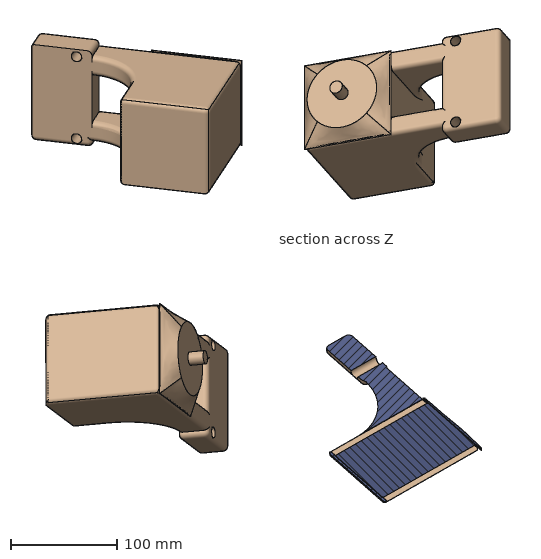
import cadquery as cq
import math

PLATE_WIDTH = 60.0
PLATE_DEPTH = 30.0
PLATE_HEIGHT = 100.0
BOX_SIDE = 88.0
BOX_DEPTH = 115.0
ARM_THICKNESS = 20.0
TOTAL_LENGTH = 198.0
EDGE_RADIUS = 5.0

HOLE_DIAMETER = 10.0
HOLE_SPACING = 85.0
HOLE_FROM_LEFT = 45.0

SIDE_WALL = 1.5
FRONT_WALL = 3.0
CORE_CORNER_RADIUS = 7.5

COVER_LENGTH = 15.0
COVER_END_DIAMETER = 70.3
SHAFT_DIAMETER = 12.7
SHAFT_LENGTH = 15.0

ARM_RADIUS = TOTAL_LENGTH - PLATE_WIDTH - BOX_SIDE
BOX_LEFT = TOTAL_LENGTH - BOX_SIDE
BOX_CENTER_X = TOTAL_LENGTH - BOX_SIDE / 2
BOX_TOP = BOX_SIDE / 2
ARM_LEFT = PLATE_WIDTH - EDGE_RADIUS
ARC_END_Y = -PLATE_DEPTH - ARM_RADIUS
WINDOW_HEIGHT = BOX_SIDE - 2 * ARM_THICKNESS
WINDOW_TOP = WINDOW_HEIGHT / 2
CAVITY_SIDE = BOX_SIDE - 2 * SIDE_WALL
CAVITY_DEPTH = BOX_DEPTH - FRONT_WALL
DIAGONAL = 0.5**0.5


def block(x_min, x_max, y_min, y_max, height):
    """Box given by its X and Y limits, centred on Z = 0."""
    return (
        cq.Workplane("XY")
        .box(x_max - x_min, y_max - y_min, height, centered=(False, False, True))
        .translate((x_min, y_min, 0))
    )


def edges_at(body, points):
    """Edges of the body that lie closest to each of the given points."""
    picked = []
    for point in points:
        picked += body.edges(cq.selectors.NearestToPointSelector(point)).vals()
    return body.newObject(picked)


def cavity_block():
    """Square block that fills the cavity of the box, open at the back plane."""
    left = BOX_LEFT + SIDE_WALL
    return block(left, left + CAVITY_SIDE, -CAVITY_DEPTH, 0, CAVITY_SIDE)


def make_arm(side):
    """Arm above (side 1) or below (side -1) the window, swept into the left wall of the box."""
    arc_middle = (
        PLATE_WIDTH + ARM_RADIUS * DIAGONAL,
        ARC_END_Y + ARM_RADIUS * DIAGONAL,
    )
    arm = (
        cq.Workplane("XY")
        .moveTo(ARM_LEFT, 0)
        .lineTo(BOX_CENTER_X, 0)
        .lineTo(BOX_CENTER_X, ARC_END_Y)
        .lineTo(BOX_LEFT, ARC_END_Y)
        .threePointArc(arc_middle, (PLATE_WIDTH, -PLATE_DEPTH))
        .lineTo(ARM_LEFT, -PLATE_DEPTH)
        .close()
        .extrude(ARM_THICKNESS)
        .translate((0, 0, WINDOW_TOP))
    )
    rounded = []
    for z in (WINDOW_TOP, BOX_TOP):
        rounded += [
            (*arc_middle, z),
            ((ARM_LEFT + PLATE_WIDTH) / 2, -PLATE_DEPTH, z),
        ]
    rounded.append(((ARM_LEFT + BOX_CENTER_X) / 2, 0, WINDOW_TOP))
    arm = edges_at(arm, rounded).fillet(EDGE_RADIUS)
    return arm if side > 0 else arm.mirror("XY")


def make_box():
    """Square box whose lower front edge and back upright edges stay sharp."""
    box = block(BOX_LEFT, TOTAL_LENGTH, -BOX_DEPTH, 0, BOX_SIDE)
    rounded = [
        (BOX_LEFT, -BOX_DEPTH, 0),
        (TOTAL_LENGTH, -BOX_DEPTH, 0),
        (BOX_CENTER_X, -BOX_DEPTH, BOX_TOP),
    ]
    for z in (-BOX_TOP, BOX_TOP):
        rounded += [
            (BOX_LEFT, -BOX_DEPTH / 2, z),
            (TOTAL_LENGTH, -BOX_DEPTH / 2, z),
        ]
    return edges_at(box, rounded).fillet(EDGE_RADIUS)


def rounded_plate(sharp_front_points):
    """Grip plate block, rounded all over except at the front edges near the given points."""
    plate = block(0, PLATE_WIDTH, -PLATE_DEPTH, 0, PLATE_HEIGHT)
    sharp = edges_at(plate, sharp_front_points).vals()
    rounded = [
        edge
        for edge in plate.edges("|Y or >Y or <Y").vals()
        if not any(edge.isSame(other) for other in sharp)
    ]
    return plate.newObject(rounded).fillet(EDGE_RADIUS)


def make_plate():
    """Upright plate, its right front edge rounded only below the lower arm, with two through holes."""
    front_top_edge = (PLATE_WIDTH / 2, -PLATE_DEPTH, PLATE_HEIGHT / 2)
    front_right_edge = (PLATE_WIDTH, -PLATE_DEPTH, 0)
    foot_height = (PLATE_HEIGHT - BOX_SIDE) / 2 + EDGE_RADIUS
    foot_space = block(0, PLATE_WIDTH, -PLATE_DEPTH, 0, foot_height).translate(
        (0, 0, (foot_height - PLATE_HEIGHT) / 2)
    )
    upper = rounded_plate([front_top_edge, front_right_edge]).cut(foot_space)
    foot = rounded_plate([front_top_edge]).intersect(foot_space)
    holes = (
        cq.Workplane("XZ")
        .pushPoints([(HOLE_FROM_LEFT, side * HOLE_SPACING / 2) for side in (-1, 1)])
        .circle(HOLE_DIAMETER / 2)
        .extrude(PLATE_DEPTH)
    )
    return upper.union(foot).cut(holes)


def make_housing():
    """Grip plate, arms and hollow box in one piece."""
    body = make_box()
    for side in (-1, 1):
        body = body.union(make_arm(side))
    back_edges = [((ARM_LEFT + TOTAL_LENGTH) / 2, 0, z) for z in (-BOX_TOP, BOX_TOP)]
    body = edges_at(body, back_edges).fillet(EDGE_RADIUS)
    return body.union(make_plate()).cut(cavity_block())


def make_core():
    """Round-cornered block that fills the cavity of the box."""
    return cavity_block().edges("|Y").fillet(CORE_CORNER_RADIUS)


def make_cover():
    """Cover that changes from the square back of the box to a smaller round end."""
    half = BOX_SIDE / 2
    radius = COVER_END_DIAMETER / 2
    base = cq.Wire.makePolygon(
        [
            cq.Vector(BOX_CENTER_X + sx * half, 0, sz * half)
            for sx, sz in ((1, 1), (-1, 1), (-1, -1), (1, -1))
        ],
        close=True,
    )
    arcs = []
    for quarter in range(4):
        start, middle, end = [
            cq.Vector(
                BOX_CENTER_X + radius * math.cos(math.radians(angle)),
                COVER_LENGTH,
                radius * math.sin(math.radians(angle)),
            )
            for angle in (90 * quarter + 45, 90 * quarter + 90, 90 * quarter + 135)
        ]
        arcs.append(cq.Edge.makeThreePointArc(start, middle, end))
    return cq.Workplane(cq.Solid.makeLoft([base, cq.Wire.assembleEdges(arcs)], True))


def make_shaft():
    """Round shaft standing on the middle of the cover."""
    return (
        cq.Workplane("XZ", origin=(BOX_CENTER_X, COVER_LENGTH, 0))
        .circle(SHAFT_DIAMETER / 2)
        .extrude(-SHAFT_LENGTH)
    )


housing = make_housing()
core = make_core()
cover = make_cover()
shaft = make_shaft()

result = cq.Compound.makeCompound([housing.val(), core.val(), cover.val(), shaft.val()])